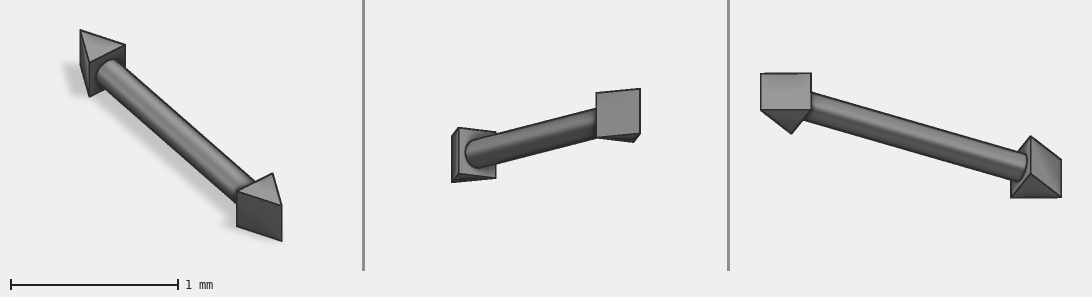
import cadquery as cq

total_length = 2.0
head_length = 0.27
head_width = 0.27
left_head_height = 0.272
right_head_height = 0.28
shaft_diameter = 0.172

tip_x = total_length / 2
base_x = tip_x - head_length
shaft_center_z = -0.005


def arrow_head(direction, height):
    """Triangular prism pointing along X, with its tip at the end of the part."""
    outline = [
        (direction * tip_x, 0),
        (direction * base_x, head_width / 2),
        (direction * base_x, -head_width / 2),
    ]
    return cq.Workplane("XY").polyline(outline).close().extrude(height / 2, both=True)


shaft = (
    cq.Workplane("YZ", origin=(0, 0, shaft_center_z))
    .circle(shaft_diameter / 2)
    .extrude(base_x, both=True)
)

left_head = arrow_head(-1, left_head_height)
right_head = arrow_head(1, right_head_height)

result = shaft.union(left_head).union(right_head)